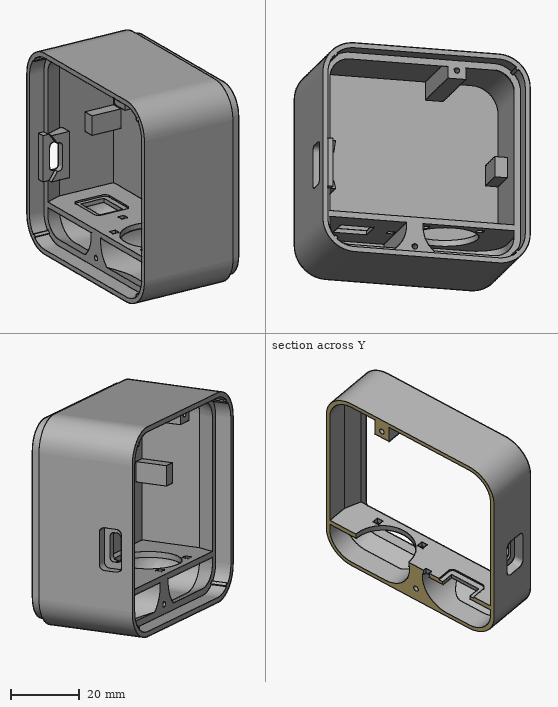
import cadquery as cq
import math

WIDTH = 62.5
DEPTH = 33.65
HEIGHT = 63.0
CORNER_RADIUS = 9.5
WALL = 1.5
BACK_STEP = 3.0

FRONT_Y = -DEPTH / 2
BACK_Y = DEPTH / 2
CAVITY_BACK_Y = BACK_Y - BACK_STEP - WALL
CAVITY_RIGHT = WIDTH / 2 - WALL
CAVITY_LEFT = -CAVITY_RIGHT
CAVITY_TOP = HEIGHT / 2 - WALL
CAVITY_BOTTOM = -CAVITY_TOP

LEDGE_DEPTH = 5.0
LIP_INSET = 3.5
TAPER_LENGTH = 5.3
LEDGE_Y = FRONT_Y + LEDGE_DEPTH
TAPER_END_Y = LEDGE_Y + TAPER_LENGTH

KEY_WIDTH = 1.0
KEY_HEIGHT = 0.5

SHELF_TOP = -18.2
SHELF_THICKNESS = 1.75
SHELF_BOTTOM = SHELF_TOP - SHELF_THICKNESS
PILLAR_X = -2.15
PILLAR_WIDTH = 5.0
POCKET_RADIUS = 9.0

SPEAKER_DIAMETER = 19.5
SPEAKER_X = 10.35
PIN_SIZE = 2.0
PIN_OFFSET = 8.25
PIN_POSITIONS = [
    (SPEAKER_X - PIN_OFFSET, -PIN_OFFSET),
    (SPEAKER_X + PIN_OFFSET, -PIN_OFFSET),
    (-6.05, 0),
]

WINDOW_LENGTH = 10.0
WINDOW_WIDTH = 8.0
WINDOW_RECESS_LENGTH = 12.85
WINDOW_RECESS_WIDTH = 11.6
WINDOW_RECESS_RADIUS = 1.5
WINDOW_RECESS_DEPTH = 0.5
WINDOW_X = (CAVITY_LEFT + PILLAR_X - PILLAR_WIDTH / 2) / 2

SCREW_DIAMETER = 1.6
SCREW_Z = 27.0
BOSS_X = 10.5
BOSS_WIDTH = 5.35
BOSS_BOTTOM = 24.5

RIB_DEPTH = 3.8
RIB_TOP = 6.2
RIB_HEIGHT = 6.1
RIB_FRONT_Y = 2.3

PORT_Y = -9.65
PORT_Z = -4.15
PORT_WIDTH = 3.5
PORT_HEIGHT = 8.8
PORT_RADIUS = 1.25
RECESS_WIDTH = 7.3
RECESS_HEIGHT = 12.85
RECESS_RADIUS = 1.75
RECESS_DEPTH = 3.15
HOLDER_HEIGHT = 14.5
HOLDER_DEPTH = RIB_DEPTH
HOLDER_WEB = 2.4
HOLDER_FRONT_Y = -13.75
HOLDER_BACK_Y = -5.55
FLARE_DEPTH = 2.0


def box(x_range, y_range, z_range):
    """Box between a low and a high limit on each axis."""
    sizes = [high - low for low, high in (x_range, y_range, z_range)]
    corner = (x_range[0], y_range[0], z_range[0])
    return cq.Workplane("XY").box(*sizes, centered=False).translate(corner)


def rounded_prism(inset, y_start, y_end):
    """Body outline moved inward by the inset, from one Y to another."""
    return (
        cq.Workplane("XZ", origin=(0, y_start, 0))
        .rect(WIDTH - 2 * inset, HEIGHT - 2 * inset)
        .extrude(y_start - y_end)
        .edges("|Y")
        .fillet(CORNER_RADIUS - inset)
    )


def lip_taper():
    """Void that widens from the lip edge back to the cavity wall."""
    narrow = rounded_prism(LIP_INSET, LEDGE_Y, TAPER_END_Y).faces("<Y").wires().val()
    wide = rounded_prism(WALL, LEDGE_Y, TAPER_END_Y).faces(">Y").wires().val()
    return cq.Workplane(cq.Solid.makeLoft([narrow, wide], True))


def shell():
    """Stepped outer body with the opening, lip and cavity removed."""
    body = rounded_prism(0, FRONT_Y, BACK_Y - BACK_STEP)
    body = body.union(rounded_prism(WALL, BACK_Y - BACK_STEP, BACK_Y))
    body = body.cut(rounded_prism(WALL, FRONT_Y, LEDGE_Y))
    body = body.cut(lip_taper())
    return body.cut(rounded_prism(WALL, TAPER_END_Y, CAVITY_BACK_Y))


def corner_keys():
    """Key along Y at the middle of each rounded corner of the opening."""
    arc_radius = CORNER_RADIUS - WALL
    root = arc_radius + WALL / 2
    tip = arc_radius - KEY_HEIGHT
    keys = cq.Workplane("XY")
    for side_x in (-1, 1):
        for side_z in (-1, 1):
            key = box((tip, root), (FRONT_Y, LEDGE_Y), (-KEY_WIDTH / 2, KEY_WIDTH / 2))
            outward_angle = math.degrees(math.atan2(side_z, side_x))
            key = key.rotate((0, 0, 0), (0, 1, 0), -outward_angle)
            arc_x = side_x * (WIDTH / 2 - CORNER_RADIUS)
            arc_z = side_z * (HEIGHT / 2 - CORNER_RADIUS)
            keys = keys.add(key.translate((arc_x, 0, arc_z)))
    return keys.combine()


def right_pocket(x_left):
    """Pocket from the given X to the right wall, rounded at the pillar, back and outer corner."""
    pocket = box((x_left, CAVITY_RIGHT), (LEDGE_Y, CAVITY_BACK_Y), (CAVITY_BOTTOM, SHELF_BOTTOM))
    pillar_and_back_edges = "(|Y and <X and <Z) or (|X and >Y and <Z) or (|Z and >X and >Y)"
    pocket = pocket.edges(pillar_and_back_edges).fillet(POCKET_RADIUS)
    return pocket.edges("|Y and >X and <Z").fillet(CORNER_RADIUS - WALL)


def shelf_insert():
    """Shelf with the pocketed block and pillar below it."""
    insert = box((CAVITY_LEFT, CAVITY_RIGHT), (LEDGE_Y, CAVITY_BACK_Y), (CAVITY_BOTTOM, SHELF_TOP))
    insert = insert.cut(right_pocket(PILLAR_X + PILLAR_WIDTH / 2))
    insert = insert.cut(right_pocket(-PILLAR_X + PILLAR_WIDTH / 2).mirror("YZ"))
    return insert.intersect(rounded_prism(WALL, LEDGE_Y, CAVITY_BACK_Y))


def shelf_openings():
    """Speaker opening, pin holes and stepped window, cut through the shelf only."""
    top = cq.Workplane("XY", origin=(0, 0, SHELF_TOP))
    speaker = top.center(SPEAKER_X, 0).circle(SPEAKER_DIAMETER / 2).extrude(-SHELF_THICKNESS)
    pins = top.pushPoints(PIN_POSITIONS).rect(PIN_SIZE, PIN_SIZE).extrude(-SHELF_THICKNESS)
    window = top.center(WINDOW_X, 0)
    hole = window.rect(WINDOW_LENGTH, WINDOW_WIDTH).extrude(-SHELF_THICKNESS)
    recess = window.rect(WINDOW_RECESS_LENGTH, WINDOW_RECESS_WIDTH).extrude(-WINDOW_RECESS_DEPTH)
    recess = recess.edges("|Z").fillet(WINDOW_RECESS_RADIUS)
    return speaker.union(pins).union(hole).union(recess)


def boss():
    """Screw boss hanging from the top wall."""
    x_range = (BOSS_X - BOSS_WIDTH / 2, BOSS_X + BOSS_WIDTH / 2)
    return box(x_range, (LEDGE_Y, CAVITY_BACK_Y), (BOSS_BOTTOM, CAVITY_TOP))


def screw_holes():
    """Holes through the full depth at the boss and at the pillar."""
    centres = [(BOSS_X, SCREW_Z), (PILLAR_X, -SCREW_Z)]
    front = cq.Workplane("XZ", origin=(0, FRONT_Y, 0))
    return front.pushPoints(centres).circle(SCREW_DIAMETER / 2).extrude(-DEPTH)


def side_ribs():
    """Matching ribs on the left and right walls, reaching the back wall."""
    z_range = (RIB_TOP - RIB_HEIGHT, RIB_TOP)
    right = box((CAVITY_RIGHT - RIB_DEPTH, CAVITY_RIGHT), (RIB_FRONT_Y, CAVITY_BACK_Y), z_range)
    return right.union(right.mirror("YZ"))


def port_slot(width, height, radius, depth):
    """Rounded slot cut into the left wall from outside."""
    return (
        cq.Workplane("YZ", origin=(-WIDTH / 2, PORT_Y, PORT_Z))
        .rect(width, height)
        .extrude(depth)
        .edges("|X")
        .fillet(radius)
    )


def connector_holder():
    """Block behind the port, with its inner face open toward the front in a flare."""
    bottom = PORT_Z - HOLDER_HEIGHT / 2
    top = PORT_Z + HOLDER_HEIGHT / 2
    block = box((CAVITY_LEFT, CAVITY_LEFT + HOLDER_DEPTH), (HOLDER_FRONT_Y, HOLDER_BACK_Y), (bottom, top))
    flare_outline = [
        (PORT_Y, PORT_Z - PORT_HEIGHT / 2),
        (PORT_Y, PORT_Z + PORT_HEIGHT / 2),
        (PORT_Y - FLARE_DEPTH, top),
        (HOLDER_FRONT_Y, top),
        (HOLDER_FRONT_Y, bottom),
        (PORT_Y - FLARE_DEPTH, bottom),
    ]
    inner_face = cq.Workplane("YZ", origin=(CAVITY_LEFT + HOLDER_WEB, 0, 0))
    flare = inner_face.polyline(flare_outline).close().extrude(HOLDER_DEPTH - HOLDER_WEB)
    return block.cut(flare)


result = (
    shell()
    .union(corner_keys())
    .union(shelf_insert())
    .cut(shelf_openings())
    .union(boss())
    .union(side_ribs())
    .union(connector_holder())
    .cut(port_slot(RECESS_WIDTH, RECESS_HEIGHT, RECESS_RADIUS, RECESS_DEPTH))
    .cut(port_slot(PORT_WIDTH, PORT_HEIGHT, PORT_RADIUS, WALL + HOLDER_DEPTH))
    .cut(screw_holes())
)